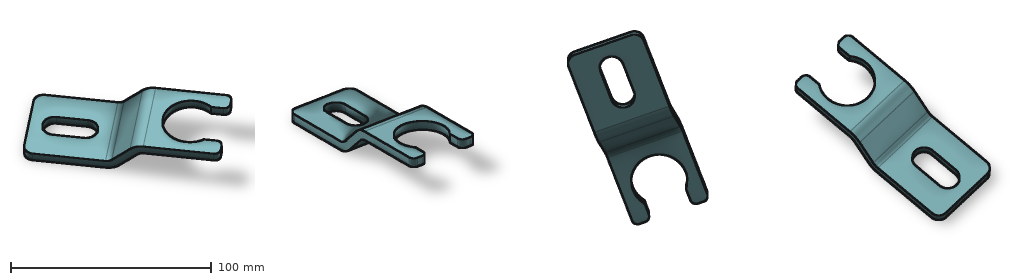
import cadquery as cq
import math

length = 100.0
width = 40.1
thickness = 5.0
rear_corner_radius = 5.0
prong_corner_radius = 3.0

bend_start = 42.0
bend_angle = 45.0
inner_radius = 4.5
step_height = 13.6

slot_width = 12.0
slot_center_distance = 16.0
slot_center_x = 21.0

seat_radius = 14.0
seat_to_tip = 18.0
mouth_width = 22.0

pitch = 1.2
yaw = 11.7

outer_radius = inner_radius + thickness
angle = math.radians(bend_angle)
top_z = step_height + thickness
arc_rise = (inner_radius + outer_radius) * (1 - math.cos(angle))
arc_run = (inner_radius + outer_radius) * math.sin(angle)
ramp_run = (step_height - arc_rise) / math.tan(angle)
bend_end = bend_start + arc_run + ramp_run
seat_x = length - seat_to_tip
cut_height = 2 * top_z


def lower_arc(radius, turn):
    """Point on the lower bend, turned upward from its start."""
    center_z = outer_radius
    return bend_start + radius * math.sin(turn), center_z - radius * math.cos(turn)


def upper_arc(radius, turn):
    """Point on the upper bend, turned back from its level end."""
    center_z = top_z - outer_radius
    return bend_end - radius * math.sin(turn), center_z + radius * math.cos(turn)


def bent_strip():
    """Constant-thickness strip, centered on Y."""
    half = angle / 2
    profile = (
        cq.Workplane("XZ")
        .moveTo(0, 0)
        .lineTo(*lower_arc(outer_radius, 0))
        .threePointArc(lower_arc(outer_radius, half), lower_arc(outer_radius, angle))
        .lineTo(*upper_arc(inner_radius, angle))
        .threePointArc(upper_arc(inner_radius, half), upper_arc(inner_radius, 0))
        .lineTo(length, step_height)
        .lineTo(length, top_z)
        .lineTo(*upper_arc(outer_radius, 0))
        .threePointArc(upper_arc(outer_radius, half), upper_arc(outer_radius, angle))
        .lineTo(*lower_arc(inner_radius, angle))
        .threePointArc(lower_arc(inner_radius, half), lower_arc(inner_radius, 0))
        .lineTo(0, thickness)
        .close()
    )
    return profile.extrude(width / 2, both=True)


def mounting_slot():
    slot_length = slot_center_distance + slot_width
    return cq.Workplane("XY").center(slot_center_x, 0).slot2D(slot_length, slot_width).extrude(cut_height)


def open_seat():
    """Round seat with a narrower mouth running out through the tip."""
    seat = cq.Workplane("XY").center(seat_x, 0).circle(seat_radius).extrude(cut_height)
    mouth = (
        cq.Workplane("XY")
        .center(seat_x + seat_to_tip / 2, 0)
        .rect(seat_to_tip, mouth_width)
        .extrude(cut_height)
    )
    return seat.union(mouth)


bracket = bent_strip().cut(mounting_slot()).cut(open_seat())
bracket = bracket.faces("<X").edges("|Z").fillet(rear_corner_radius)
bracket = bracket.faces(">X").edges("|Z").fillet(prong_corner_radius)
result = bracket.rotate((0, 0, 0), (0, 1, 0), -pitch).rotate((0, 0, 0), (0, 0, 1), yaw)